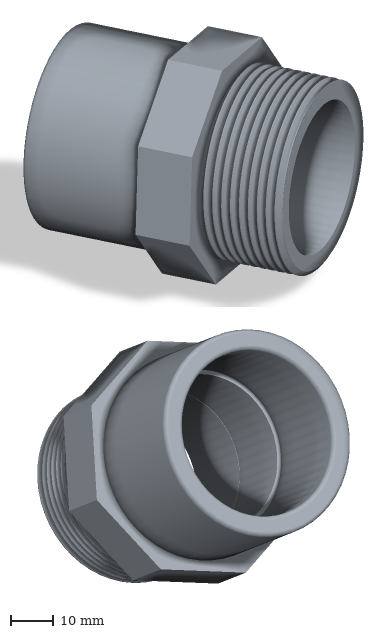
import cadquery as cq
import math

total_length = 66.5
collar_start = 30.9
collar_end = 44.95

socket_outer_dia = 50.0
socket_bore_dia = 40.0
socket_depth = 26.0
rim_radius = 1.0

collar_corner_radius = 29.8
collar_sides = 8
collar_tilt = 26.2

collar_bore_dia = 38.0
thread_bore_dia = 37.8
thread_root_dia = 44.75
thread_crest_dia = 47.7
thread_turns = 9.33
thread_pitch = (total_length - collar_end) / thread_turns
thread_base_width = 2.0
thread_crest_width = 0.25
thread_offset = 0.6
thread_burial = 0.2

trim_dia = 59.85
trim_length = 10.0
trim_overrun = 0.65


def cylinder(diameter, start, end):
    """Cylinder along X between two stations."""
    return cq.Workplane("YZ", origin=(start, 0, 0)).circle(diameter / 2).extrude(end - start)


def make_collar():
    """Octagonal wrench collar, turned slightly about the pipe axis."""
    corners = []
    for side in range(collar_sides):
        angle = math.radians(180 - collar_tilt + side * 360 / collar_sides)
        corners.append((collar_corner_radius * math.cos(angle), collar_corner_radius * math.sin(angle)))
    plane = cq.Workplane("YZ", origin=(collar_start, 0, 0))
    return plane.polyline(corners).close().extrude(collar_end - collar_start)


def make_fitting():
    """Pipe fitting: rounded socket, octagonal collar, plain core under the thread and stepped bore."""
    socket = cylinder(socket_outer_dia, 0, collar_start)
    core = cylinder(thread_root_dia, collar_end, total_length)
    fitting = socket.union(make_collar()).union(core)
    fitting = fitting.cut(cylinder(thread_bore_dia, 0, total_length))
    fitting = fitting.cut(cylinder(collar_bore_dia, 0, collar_end))
    fitting = fitting.cut(cylinder(socket_bore_dia, 0, socket_depth))
    return fitting.faces("<X").edges().fillet(rim_radius).solids()


def make_thread():
    """Right-handed helical ridge, trimmed flush with the collar face and the pipe end."""
    root_radius = thread_root_dia / 2
    crest_radius = thread_crest_dia / 2
    flank_slope = (thread_base_width - thread_crest_width) / 2 / (crest_radius - root_radius)
    inner_radius = root_radius - thread_burial
    half_base = thread_base_width / 2 + flank_slope * thread_burial
    half_crest = thread_crest_width / 2

    start = collar_end + thread_offset - thread_pitch
    height = total_length + 2 * thread_pitch - start
    path = cq.Wire.makeHelix(thread_pitch, height, root_radius)
    profile = cq.Workplane("XZ").polyline([
        (inner_radius, -half_base),
        (crest_radius, -half_crest),
        (crest_radius, half_crest),
        (inner_radius, half_base),
    ]).close()
    ridge = profile.sweep(path, isFrenet=True)
    ridge = ridge.rotate((0, 0, 0), (1, 1, 1), 120).translate((start, 0, 0))
    ridge = ridge.cut(cylinder(trim_dia, collar_end - trim_length, collar_end))
    ridge = ridge.cut(cylinder(trim_dia, total_length, total_length + trim_length))
    return ridge.cut(cylinder(thread_root_dia, collar_end - trim_overrun, total_length + trim_overrun))


fitting = make_fitting()
thread = make_thread()
result = cq.Compound.makeCompound([fitting.val(), thread.solids().val()])